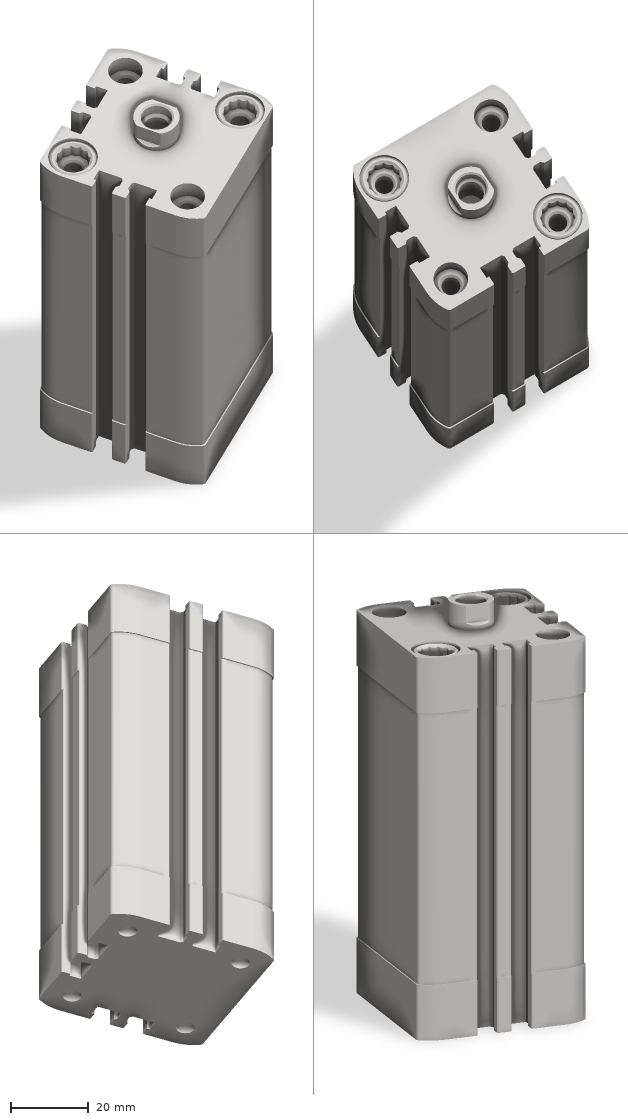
import cadquery as cq
import math

TOTAL_HEIGHT = 110.6
SIDE = 47.0
ROD_PROTRUSION = 6.6
HOUSING_HEIGHT = TOTAL_HEIGHT - ROD_PROTRUSION
CAP_HEIGHT = 15.0
BARREL_INSET = 0.36

HOLE_PITCH = 32.5
CORNER_ARC_RADIUS = 12.5
CORNER_FILLET = 1.0

SLOT_DEPTH = 5.9
LIP_THICKNESS = 2.5
POST_HEAD_HALF_WIDTH = 2.0
POST_NECK_HALF_WIDTH = 1.2
SLOT_OUTER_LIP = 7.5
SLOT_OUTER_WALL = 8.3
NECK_CHAMFER = 0.7
EDGE_CHAMFER = 0.2
SLOT_ROTATIONS = (0, 180, -90)

THROUGH_DIAMETER = 4.9
THROUGH_CHAMFER_DIAMETER = 6.0
COUNTERBORE_DIAMETER = 9.0
COUNTERBORE_DEPTH = 5.0

SOCKET_RIM_DIAMETER = 12.8
SOCKET_GROOVE_DEPTH = 1.1
HEAD_DIAMETER = 12.0
HEAD_FACE_DIAMETER = 11.0
HEAD_FACE_DEPTH = 0.3
HEAD_CHAMFER_DROP = 0.4
SOCKET_MOUTH_DIAMETER = 10.2
SOCKET_TIP_DIAMETER = 8.5
SOCKET_ROOT_DIAMETER = 9.2
SOCKET_DEPTH = 4.4
TOOTH_COUNT = 12
TOOTH_TIP_SHARE = 0.3

ROD_DIAMETER = 12.0
ROD_LENGTH = CAP_HEIGHT + ROD_PROTRUSION
FLAT_WIDTH = 9.8
FLAT_LENGTH = 4.8
FLAT_RUNOUT = 0.7
ROD_MOUTH_DIAMETER = 9.0
ROD_PILOT_DIAMETER = 8.1
ROD_PILOT_DEPTH = 3.3
ROD_DRILL_DIAMETER = 6.6
ROD_DRILL_DEPTH = 14.4
DRILL_POINT_ANGLE = 120.0


def revolved(profile):
    """Solid turned about Z from (radius, z) points running down to a point on the axis."""
    top = (0, profile[0][1])
    return cq.Workplane("XZ").polyline([top, *profile]).close().revolve(360, (0, 0), (0, 1))


def outline_block(inset, height):
    """Prism of the housing outline, shrunk by inset."""
    half = SIDE / 2 - inset
    arc_x = HOLE_PITCH / 2
    radius = CORNER_ARC_RADIUS - inset
    edge_y = half - radius + math.sqrt(radius**2 - (half - arc_x) ** 2)
    mid_angle = math.pi / 2 - math.asin((half - arc_x) / radius) / 2
    mid_x = arc_x + radius * math.cos(mid_angle)
    mid_y = half - radius + radius * math.sin(mid_angle)
    outline = (
        cq.Workplane("XY")
        .moveTo(-arc_x, half)
        .lineTo(arc_x, half)
        .threePointArc((mid_x, mid_y), (half, edge_y))
        .lineTo(half, -edge_y)
        .threePointArc((mid_x, -mid_y), (arc_x, -half))
        .lineTo(-arc_x, -half)
        .threePointArc((-mid_x, -mid_y), (-half, -edge_y))
        .lineTo(-half, edge_y)
        .threePointArc((-mid_x, mid_y), (-arc_x, half))
        .close()
        .extrude(height)
    )
    return outline.edges("|Z and (>X or <X)").fillet(CORNER_FILLET)


def slot_pair(inset, height):
    """Cutter for the two T-slots in the -Y face of a prism shrunk by inset."""
    outer_y = inset - SIDE / 2
    chamfer_y = outer_y + EDGE_CHAMFER
    lip_y = LIP_THICKNESS - SIDE / 2
    floor_y = SLOT_DEPTH - SIDE / 2
    points = [
        (POST_HEAD_HALF_WIDTH - EDGE_CHAMFER, outer_y),
        (SLOT_OUTER_LIP + EDGE_CHAMFER, outer_y),
        (SLOT_OUTER_LIP, chamfer_y),
        (SLOT_OUTER_LIP, lip_y),
        (SLOT_OUTER_WALL, lip_y),
        (SLOT_OUTER_WALL, floor_y),
        (POST_NECK_HALF_WIDTH + NECK_CHAMFER, floor_y),
        (POST_NECK_HALF_WIDTH, floor_y - NECK_CHAMFER),
        (POST_NECK_HALF_WIDTH, lip_y + NECK_CHAMFER),
        (POST_NECK_HALF_WIDTH + NECK_CHAMFER, lip_y),
        (POST_HEAD_HALF_WIDTH, lip_y),
        (POST_HEAD_HALF_WIDTH, chamfer_y),
    ]
    slot = cq.Workplane("XY").polyline(points).close().extrude(height)
    return slot.union(slot.mirror("YZ"))


def slotted_section(inset, height):
    """One length of the housing with T-slots in three of its sides."""
    section = outline_block(inset, height)
    slots = slot_pair(inset, height)
    for angle in SLOT_ROTATIONS:
        section = section.cut(slots.rotate((0, 0, 0), (0, 0, 1), angle))
    return section


def through_hole(start_z):
    """Chamfered through hole whose wide end is at start_z."""
    chamfer = (THROUGH_CHAMFER_DIAMETER - THROUGH_DIAMETER) / 2
    return revolved([
        (THROUGH_CHAMFER_DIAMETER / 2, start_z),
        (THROUGH_DIAMETER / 2, start_z - chamfer),
        (THROUGH_DIAMETER / 2, 0),
        (0, 0),
    ])


def plain_corner_hole():
    """Counterbore with the through hole below."""
    floor_z = HOUSING_HEIGHT - COUNTERBORE_DEPTH
    counterbore = (
        cq.Workplane("XY", origin=(0, 0, floor_z))
        .circle(COUNTERBORE_DIAMETER / 2)
        .extrude(COUNTERBORE_DEPTH)
    )
    return counterbore.union(through_hole(floor_z))


def tooth_ring_points():
    """Star outline with flat tips pointing inward, one of them on the diagonal."""
    pitch = 2 * math.pi / TOOTH_COUNT
    tip_half_angle = TOOTH_TIP_SHARE * pitch / 2
    tip_radius = SOCKET_TIP_DIAMETER / 2
    root_radius = SOCKET_ROOT_DIAMETER / 2
    points = []
    for i in range(TOOTH_COUNT):
        tip_angle = math.pi / 4 + i * pitch
        for radius, angle in (
            (tip_radius, tip_angle - tip_half_angle),
            (tip_radius, tip_angle + tip_half_angle),
            (root_radius, tip_angle + pitch / 2),
        ):
            points.append((radius * math.cos(angle), radius * math.sin(angle)))
    return points


def socket_corner_hole():
    """Ring groove around a toothed socket with a conical mouth, with the through hole below."""
    floor_z = HOUSING_HEIGHT - SOCKET_DEPTH
    face_z = HOUSING_HEIGHT - HEAD_FACE_DEPTH
    mouth_depth = (SOCKET_MOUTH_DIAMETER - SOCKET_TIP_DIAMETER) / 2
    mouth = revolved([
        (SOCKET_RIM_DIAMETER / 2, HOUSING_HEIGHT),
        (SOCKET_RIM_DIAMETER / 2, HOUSING_HEIGHT - SOCKET_GROOVE_DEPTH),
        (HEAD_DIAMETER / 2, HOUSING_HEIGHT - SOCKET_GROOVE_DEPTH),
        (HEAD_DIAMETER / 2, face_z - HEAD_CHAMFER_DROP),
        (HEAD_FACE_DIAMETER / 2, face_z),
        (SOCKET_MOUTH_DIAMETER / 2, face_z),
        (SOCKET_TIP_DIAMETER / 2, face_z - mouth_depth),
        (0, face_z - mouth_depth),
    ])
    teeth = (
        cq.Workplane("XY", origin=(0, 0, floor_z))
        .polyline(tooth_ring_points())
        .close()
        .extrude(SOCKET_DEPTH - HEAD_FACE_DEPTH)
    )
    return mouth.union(teeth).union(through_hole(floor_z))


def rod_envelope():
    """Plain rod cylinder, which is also the pocket it sits in."""
    return (
        cq.Workplane("XY", origin=(0, 0, TOTAL_HEIGHT - ROD_LENGTH))
        .circle(ROD_DIAMETER / 2)
        .extrude(ROD_LENGTH)
    )


def make_housing():
    barrel_height = HOUSING_HEIGHT - 2 * CAP_HEIGHT
    cap = slotted_section(0, CAP_HEIGHT)
    barrel = slotted_section(BARREL_INSET, barrel_height).translate((0, 0, CAP_HEIGHT))
    body = cap.union(barrel).union(cap.translate((0, 0, CAP_HEIGHT + barrel_height)))
    offset = HOLE_PITCH / 2
    plain = plain_corner_hole()
    socket = socket_corner_hole()
    for side in (-1, 1):
        body = body.cut(plain.translate((side * offset, -side * offset, 0)))
        body = body.cut(socket.translate((side * offset, side * offset, 0)))
    return body.cut(rod_envelope())


def wrench_flat():
    """Cutter for the flat on the -Y side, with a ledge sloping down and outward."""
    flat_y = -FLAT_WIDTH / 2
    outer_y = -ROD_DIAMETER / 2
    ledge_z = TOTAL_HEIGHT - FLAT_LENGTH
    return (
        cq.Workplane("YZ")
        .polyline([
            (flat_y, TOTAL_HEIGHT),
            (flat_y, ledge_z),
            (outer_y, ledge_z - FLAT_RUNOUT),
            (outer_y, TOTAL_HEIGHT),
        ])
        .close()
        .extrude(ROD_DIAMETER / 2, both=True)
    )


def rod_bore():
    """Chamfered pilot bore, conical step and pointed drill hole in the rod end."""
    slope = math.tan(math.radians(DRILL_POINT_ANGLE / 2))
    mouth_chamfer = (ROD_MOUTH_DIAMETER - ROD_PILOT_DIAMETER) / 2
    step_drop = (ROD_PILOT_DIAMETER - ROD_DRILL_DIAMETER) / 2
    pilot_z = TOTAL_HEIGHT - ROD_PILOT_DEPTH
    drill_z = TOTAL_HEIGHT - ROD_DRILL_DEPTH
    return revolved([
        (ROD_MOUTH_DIAMETER / 2, TOTAL_HEIGHT),
        (ROD_PILOT_DIAMETER / 2, TOTAL_HEIGHT - mouth_chamfer),
        (ROD_PILOT_DIAMETER / 2, pilot_z),
        (ROD_DRILL_DIAMETER / 2, pilot_z - step_drop),
        (ROD_DRILL_DIAMETER / 2, drill_z),
        (0, drill_z - ROD_DRILL_DIAMETER / 2 / slope),
    ])


def make_piston_rod():
    flat = wrench_flat()
    return rod_envelope().cut(flat).cut(flat.mirror("XZ")).cut(rod_bore())


housing = make_housing()
piston_rod = make_piston_rod()
result = cq.Compound.makeCompound([housing.val(), piston_rod.val()])